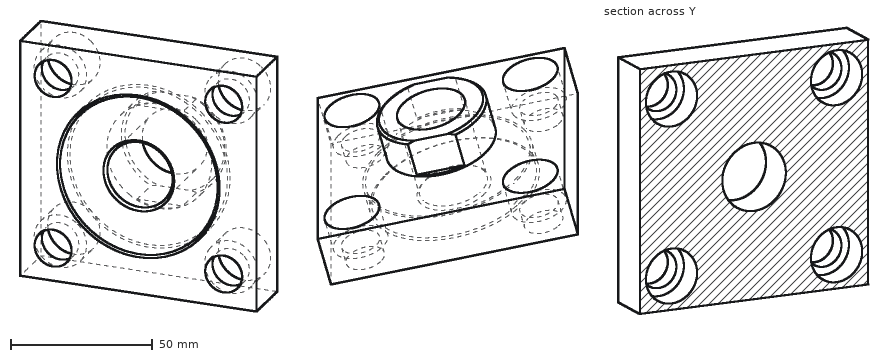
import cadquery as cq

plate_side = 90.0
plate_thickness = 20.0
overall_depth = 35.0

bolt_spacing = 65.0
bolt_hole_diameter = 14.0
counterbore_diameter = 20.0
counterbore_depth = 13.0

boss_diameter = 40.0
boss_chamfer = 1.0
flat_distance = 36.0
collar_length = 0.7

bore_diameter = 24.8
bore_chamfer = 1.1

disc_recess = 0.5
groove_outer_diameter = 62.0
groove_inner_diameter = 60.0
groove_depth = 10.0


def cylinder(diameter, start, end):
    """Solid cylinder on the Y axis between two Y positions."""
    return cq.Workplane("XZ", origin=(0, start, 0)).circle(diameter / 2).extrude(start - end)


def make_plate():
    return cq.Workplane("XY").box(plate_side, plate_thickness, plate_side, centered=(True, False, True))


def make_boss():
    """Round boss, chamfered at its free end, flattened above and below beyond a short collar."""
    boss = cylinder(boss_diameter, 0, overall_depth).faces(">Y").chamfer(boss_chamfer)
    flats_start = plate_thickness + collar_length
    flats_length = overall_depth - flats_start
    flat_cut_height = (boss_diameter - flat_distance) / 2
    for side in (-1, 1):
        cut_center = side * (flat_distance + flat_cut_height) / 2
        cutter = cq.Workplane("XY", origin=(0, flats_start, cut_center)).box(
            boss_diameter, flats_length, flat_cut_height, centered=(True, False, True)
        )
        boss = boss.cut(cutter)
    return boss


def make_bolt_holes():
    """Four through holes, counterbored on the boss side of the plate."""
    holes = (
        cq.Workplane("XZ")
        .rarray(bolt_spacing, bolt_spacing, 2, 2)
        .circle(bolt_hole_diameter / 2)
        .extrude(-plate_thickness)
    )
    counterbore_start = plate_thickness - counterbore_depth
    counterbores = (
        cq.Workplane("XZ", origin=(0, counterbore_start, 0))
        .rarray(bolt_spacing, bolt_spacing, 2, 2)
        .circle(counterbore_diameter / 2)
        .extrude(-counterbore_depth)
    )
    return holes.union(counterbores)


def make_bore():
    """Through bore with a conical entry at the sunken disc."""
    entry = (
        cq.Workplane("XZ", origin=(0, disc_recess, 0))
        .circle(bore_diameter / 2 + bore_chamfer)
        .workplane(offset=-bore_chamfer)
        .circle(bore_diameter / 2)
        .loft()
    )
    return cylinder(bore_diameter, 0, overall_depth).union(entry)


def make_front_recess():
    """Shallow round recess with a narrow groove running around its edge."""
    recess = cylinder(groove_outer_diameter, 0, groove_depth)
    return recess.cut(cylinder(groove_inner_diameter, disc_recess, groove_depth))


result = make_plate().union(make_boss())
result = result.cut(make_bolt_holes()).cut(make_bore()).cut(make_front_recess())